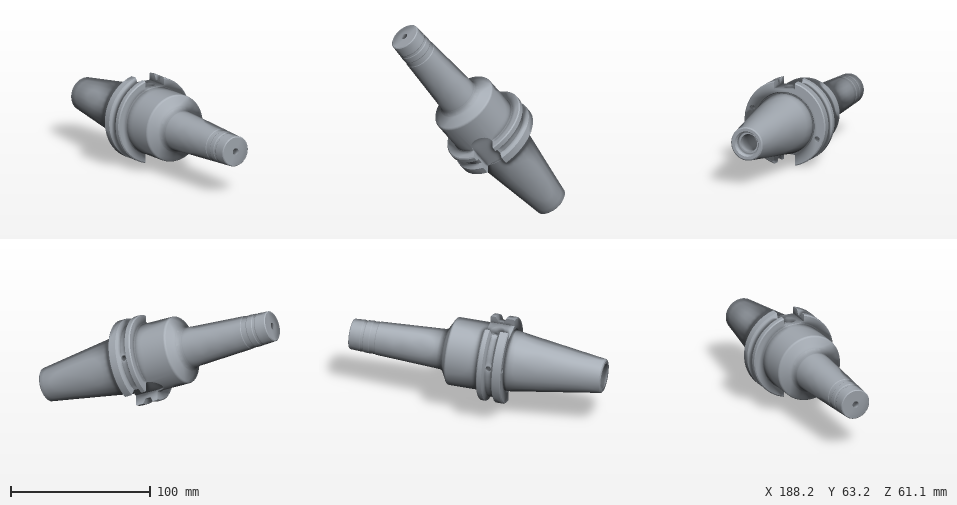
import cadquery as cq
import math


total_length = 188.2
gauge_x = 68.3
flange_rear_x = 69.3
flange_front_x = 87.3
groove_x = 79.5
body_end_x = 112.5

cutter_clearance = 1.9

gauge_radius = 22.2
taper_slope = 7 / 48
taper_chamfer = 0.8
relief_diameter = 43.9
relief_radius = relief_diameter / 2
undercut_floor_radius = 22.8
undercut_mouth_radius = 23.3
undercut_depth = 0.8

flange_radius = 31.6
flange_chamfer = 0.8
groove_radius = 28.0
groove_floor_width = 4.1
groove_wall_angle = 28.0

body_diameter = 49.5
body_radius = body_diameter / 2
body_root_fillet = 0.8
body_nose_round = 1.9
front_cone_angle = 60.0
nose_tip_radius = 11.1
nose_angle = 3.0
nose_root_fillet = 4.1
tip_chamfer = 0.5

nose_recesses = [(168.1, 173.2), (177.1, 180.0)]
recess_wall_length = 0.5
recess_depth = 0.28

slot_width = 16.2
upper_slot_floor = 25.0
lower_slot_floor = 22.4
slot_end_x = 96.0
dimple_diameter = 9.6
dimple_x = groove_x

mouth_diameter = 18.6
mouth_depth = 1.9
counterbore_diameter = 16.4
counterbore_depth = 4.3
thread_bore_diameter = 13.0
thread_bore_depth = 28.2
middle_bore_diameter = 8.0
middle_bore_depth = 75.3
through_diameter = 4.9
drill_angle = 59.0

port_angle = 20.0
port_radius = 27.0
port_diameter = 4.1
port_depth = 2.5
channel_diameter = 3.2
channel_tilt = 15.0
radial_hole_diameter = 4.0
radial_hole_overrun = 2.8


def tan(degrees):
    return math.tan(math.radians(degrees))


def nose_radius(x):
    return nose_tip_radius + (total_length - x) * tan(nose_angle)


def revolve_about_x(profile):
    return profile.close().revolve(360, (0, 0, 0), (1, 0, 0))


def ring_edges_at(x):
    """Selector for the circular edges in the plane across the axis at x."""
    reach = flange_radius
    tolerance = 0.2
    return cq.selectors.BoxSelector(
        (x - tolerance, -reach, -reach), (x + tolerance, reach, reach)
    )


def make_shank():
    """Taper, relief, undercut and the plain flange disc."""
    rear_radius = gauge_radius - gauge_x * taper_slope
    profile = (
        cq.Workplane("XY")
        .lineTo(0, rear_radius - taper_chamfer)
        .lineTo(taper_chamfer, rear_radius + taper_chamfer * taper_slope)
        .lineTo(gauge_x, gauge_radius)
        .lineTo(gauge_x, relief_radius)
        .lineTo(flange_rear_x + undercut_depth, relief_radius)
        .lineTo(flange_rear_x + undercut_depth, undercut_floor_radius)
        .lineTo(flange_rear_x, undercut_mouth_radius)
        .lineTo(flange_rear_x, flange_radius - flange_chamfer)
        .lineTo(flange_rear_x + flange_chamfer, flange_radius)
        .lineTo(flange_front_x - flange_chamfer, flange_radius)
        .lineTo(flange_front_x, flange_radius - flange_chamfer)
        .lineTo(flange_front_x, 0)
    )
    return revolve_about_x(profile)


def make_body():
    """Cylindrical body, front cone and tapered nose, with blended corners."""
    cone_tan = tan(front_cone_angle)
    cone_length = (body_radius - nose_radius(body_end_x)) / (cone_tan - tan(nose_angle))
    neck_x = body_end_x + cone_length
    profile = (
        cq.Workplane("XY")
        .moveTo(flange_front_x, 0)
        .lineTo(flange_front_x, body_radius + body_root_fillet)
        .radiusArc((flange_front_x + body_root_fillet, body_radius), -body_root_fillet)
        .lineTo(body_end_x, body_radius)
        .lineTo(neck_x, nose_radius(neck_x))
        .lineTo(total_length - tip_chamfer, nose_radius(total_length - tip_chamfer))
        .lineTo(total_length, nose_tip_radius - tip_chamfer)
        .lineTo(total_length, 0)
    )
    body = revolve_about_x(profile)
    body = body.edges(ring_edges_at(neck_x)).fillet(nose_root_fillet)
    return body.edges(ring_edges_at(body_end_x)).fillet(body_nose_round)


def make_gripper_groove():
    """V-shaped ring with a flat floor, running past the flange rim."""
    rim = flange_radius + cutter_clearance
    half_floor = groove_floor_width / 2
    half_mouth = half_floor + (rim - groove_radius) * tan(groove_wall_angle)
    return revolve_about_x(
        cq.Workplane("XY")
        .moveTo(groove_x - half_floor, groove_radius)
        .lineTo(groove_x - half_mouth, rim)
        .lineTo(groove_x + half_mouth, rim)
        .lineTo(groove_x + half_floor, groove_radius)
    )


def make_nose_recess(start, end):
    """Shallow ring with sloping end walls that follows the nose taper."""
    floor_start = start + recess_wall_length
    floor_end = end - recess_wall_length
    return revolve_about_x(
        cq.Workplane("XY")
        .moveTo(start, nose_radius(start))
        .lineTo(floor_start, nose_radius(floor_start) - recess_depth)
        .lineTo(floor_end, nose_radius(floor_end) - recess_depth)
        .lineTo(end, nose_radius(end))
        .lineTo(end, nose_radius(end) + cutter_clearance)
        .lineTo(start, nose_radius(start) + cutter_clearance)
    )


def make_drive_slot(floor, side):
    """Slot across the flange with a round run-out; side is +1 up, -1 down."""
    round_x = slot_end_x - slot_width / 2
    return (
        cq.Workplane("XY", origin=(0, 0, side * floor))
        .moveTo(gauge_x, -slot_width / 2)
        .lineTo(round_x, -slot_width / 2)
        .threePointArc((slot_end_x, 0), (round_x, slot_width / 2))
        .lineTo(gauge_x, slot_width / 2)
        .close()
        .extrude(side * flange_radius)
    )


def make_dimple():
    """Drill-point dimple in the floor of the upper slot."""
    radius = dimple_diameter / 2
    return cq.Workplane("XY").add(
        cq.Solid.makeCone(
            radius, 0, radius / tan(drill_angle),
            cq.Vector(dimple_x, 0, upper_slot_floor), cq.Vector(0, 0, -1),
        )
    )


def make_axial_bores():
    """Stepped bore from the rear, ending in a hole right through the nose."""
    bore_radius = thread_bore_diameter / 2
    middle_radius = middle_bore_diameter / 2
    through_radius = through_diameter / 2
    thread_point = (bore_radius - middle_radius) / tan(drill_angle)
    middle_point = (middle_radius - through_radius) / tan(drill_angle)
    return revolve_about_x(
        cq.Workplane("XY")
        .lineTo(0, mouth_diameter / 2)
        .lineTo(mouth_depth, counterbore_diameter / 2)
        .lineTo(counterbore_depth, counterbore_diameter / 2)
        .lineTo(counterbore_depth, bore_radius)
        .lineTo(thread_bore_depth, bore_radius)
        .lineTo(thread_bore_depth + thread_point, middle_radius)
        .lineTo(middle_bore_depth, middle_radius)
        .lineTo(middle_bore_depth + middle_point, through_radius)
        .lineTo(total_length, through_radius)
        .lineTo(total_length, 0)
    )


def make_coolant_port():
    """Face counterbore, leaning channel and the radial hole that meets it."""
    run = groove_x - flange_rear_x
    drop = run * tan(channel_tilt)
    radial_hole_end = port_radius - drop - radial_hole_overrun
    face_centre = cq.Vector(flange_rear_x, port_radius, 0)
    counterbore = cq.Solid.makeCylinder(
        port_diameter / 2, port_depth, face_centre, cq.Vector(1, 0, 0)
    )
    channel = cq.Solid.makeCylinder(
        channel_diameter / 2, math.hypot(run, drop), face_centre, cq.Vector(run, -drop, 0)
    )
    radial_hole = cq.Solid.makeCylinder(
        radial_hole_diameter / 2, flange_radius - radial_hole_end,
        cq.Vector(groove_x, radial_hole_end, 0), cq.Vector(0, 1, 0),
    )
    return cq.Workplane("XY").add(counterbore.fuse(channel, radial_hole))


result = make_shank().union(make_body())
result = result.cut(make_gripper_groove())
for start, end in nose_recesses:
    result = result.cut(make_nose_recess(start, end))
result = result.cut(make_drive_slot(upper_slot_floor, 1))
result = result.cut(make_drive_slot(lower_slot_floor, -1))
result = result.cut(make_dimple())
result = result.cut(make_axial_bores())
for turn in (0, 180):
    port = make_coolant_port().rotate((0, 0, 0), (1, 0, 0), port_angle + turn)
    result = result.cut(port)